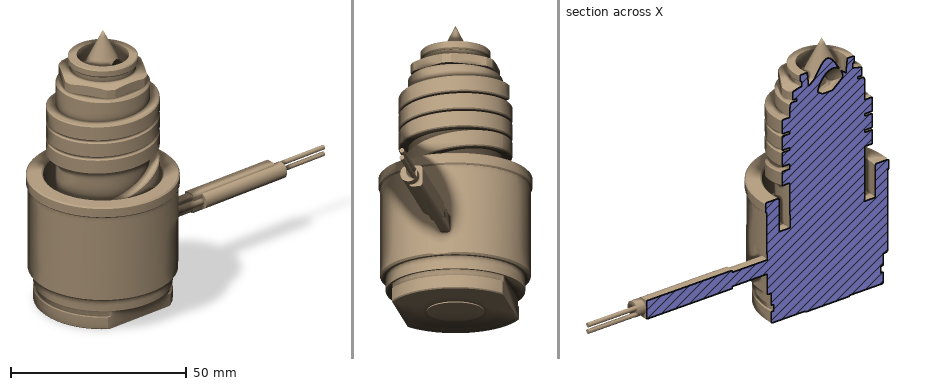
import cadquery as cq
import math

pad_height = 0.3
foot_top = 4.2
neck_top = 6.2
ring_top = 10.1
flange_bottom = 37.0
flange_top = 40.5
barrel_top = 70.4
nut_bottom = 70.9
nut_top = 74.5
lip_bottom = 76.0
lip_top = 78.4
tip_height = 86.3

pad_radius = 8.2
foot_radius = 19.9
neck_radius = 19.2
ring_radius = foot_radius
housing_radius = 21.5
flange_diameter = 44.0
flange_radius = flange_diameter / 2
foot_half_width = 16.1
housing_chamfer = 0.5
flange_chamfer = 0.4
edge_chamfer = 0.3
cavity_radius = 17.1
cavity_floor = 29.5
cable_flat_y = 21.2
cable_flat_top = 23.6

barrel_radius = 13.5
barrel_chamfer = 0.6
barrel_neck_radius = 11.2
nut_across_flats = 23.8
nut_corner_radius = 13.1
nut_cone_drop = 1.0
nozzle_neck_radius = 9.5
lip_radius = 10.0
lip_chamfer = 0.4
bore_top_radius = 7.5
bore_bottom_radius = 7.1
bore_floor = 73.8
torpedo_radius = 5.4
torpedo_shoulder = 75.3
outlet_radius = 4.2
outlet_mouth_x = 7.3
outlet_mouth_z = 74.9
outlet_depth = 8.4
funnel_tip_radius = 3.2
funnel_floor = 69.6
outlet_tilt = 45.0
outlet_angle = 20.0

coil_outer_radius = 16.2
coil_chamfer = 0.3
coil_overlap = 0.3
coil_band_height = 4.7
coil_end_angle = 172.6
coil_end_height = 64.5
coil_full_turns = 3
coil_drop = 16.0
coil_pitch = coil_drop / coil_full_turns
tail_start_angle = 158.0 - 360 * coil_full_turns
tail_end_angle = -50.0 - 360 * coil_full_turns
tail_bend = 0.00026375
coil_sample_step = 10.0

cable_axis_z = 19.3
cable_start_y = 19.0
flat_cable_end = 34.5
round_cable_radius = 1.2
flat_cable_width = 3.0
flat_cable_height = 5.3
flat_cable_x = -1.4
flat_cable_fillet = 0.6
block_width = 3.9
block_height = 6.2
block_x = -1.5
block_fillet = 1.0
block_start = 33.4
block_end = 63.7
sleeve_diameter = 5.0
sleeve_radius = sleeve_diameter / 2
sleeve_start = 36.6
sleeve_end = 66.6
wire_radius = 0.69
wire_x = -1.5
wire_spacing = 2.1
overall_length = 105.5
wire_end = overall_length - flange_radius


def cylinder(radius, bottom, top):
    return cq.Workplane("XY").workplane(offset=bottom).circle(radius).extrude(top - bottom)


def revolve(points):
    """Revolve an outline of (radius, height) points around the Z axis."""
    return cq.Workplane("XZ").polyline(points).close().revolve(360, (0, 0, 0), (0, 1, 0))


def make_foot():
    """Stepped round foot with wrench flats facing +X and -X, standing on a thin pad."""
    round_foot = (
        cylinder(foot_radius, pad_height, foot_top)
        .faces("<Z").chamfer(edge_chamfer)
        .union(cylinder(neck_radius, foot_top, neck_top))
    )
    flats = cq.Workplane("XY").box(2 * foot_half_width, 2 * flange_radius, neck_top,
                                   centered=(True, True, False))
    return round_foot.intersect(flats).union(cylinder(pad_radius, 0, pad_height))


def make_housing():
    """Flanged housing with an open heater cavity and a small flat where the cables leave."""
    body = cylinder(housing_radius, ring_top, flange_bottom).faces("<Z").chamfer(housing_chamfer)
    flat = cq.Workplane("XY").box(
        2 * housing_radius, housing_radius, cable_flat_top, centered=(True, False, False)
    ).translate((0, cable_flat_y, 0))
    body = body.cut(flat)
    flange = (
        cylinder(flange_radius, flange_bottom, flange_top)
        .faces("<Z or >Z").chamfer(flange_chamfer)
    )
    ring = cylinder(ring_radius, neck_top, ring_top)
    cavity = revolve([
        (0, cavity_floor),
        (cavity_radius, cavity_floor),
        (cavity_radius, flange_top - flange_chamfer),
        (cavity_radius + flange_chamfer, flange_top),
        (0, flange_top),
    ])
    return ring.union(body).union(flange).cut(cavity)


def make_nut():
    """Hexagonal nut with flats facing +X and -X and a shallow cone on top."""
    hexagon = (
        cq.Workplane("XY").workplane(offset=nut_bottom)
        .polygon(6, nut_across_flats / math.cos(math.pi / 6))
        .extrude(nut_top - nut_bottom)
        .rotate((0, 0, 0), (0, 0, 1), 30)
    )
    turned = revolve([
        (0, nut_bottom),
        (nut_corner_radius, nut_bottom),
        (nut_corner_radius, nut_top - nut_cone_drop),
        (lip_radius, nut_top),
        (0, nut_top),
    ])
    return hexagon.intersect(turned)


def make_nozzle():
    """Grooved lip above the nut, with a short neck joining it to the barrel."""
    outside = revolve([
        (0, nut_top),
        (nozzle_neck_radius, nut_top),
        (nozzle_neck_radius, lip_bottom),
        (lip_radius - lip_chamfer, lip_bottom),
        (lip_radius, lip_bottom + lip_chamfer),
        (lip_radius, lip_top - edge_chamfer),
        (lip_radius - edge_chamfer, lip_top),
        (0, lip_top),
    ])
    return outside.union(make_nut()).union(cylinder(barrel_neck_radius, barrel_top, nut_bottom))


def make_bore():
    """Tapered nozzle bore; its floor slopes down from the torpedo to the wall."""
    return revolve([
        (0, torpedo_shoulder),
        (torpedo_radius, torpedo_shoulder),
        (bore_bottom_radius, bore_floor),
        (bore_top_radius, lip_top),
        (0, lip_top),
    ])


def make_torpedo():
    """Pointed core rising from the bore floor, its seam turned to +Y, clear of the outlets."""
    return revolve([
        (0, bore_floor),
        (torpedo_radius, bore_floor),
        (torpedo_radius, torpedo_shoulder),
        (0, tip_height),
    ]).rotate((0, 0, 0), (0, 0, 1), 90)


def make_outlets():
    """Two opposite melt outlets, slanting down and inwards until they meet under the torpedo.

    A funnel below the bore floor bounds them on the outside.
    """
    funnel = revolve([
        (0, funnel_floor),
        (funnel_tip_radius, funnel_floor),
        (bore_bottom_radius, bore_floor),
        (bore_bottom_radius, tip_height),
        (0, tip_height),
    ])
    slanted = (
        cylinder(outlet_radius, -outlet_depth, outlet_depth)
        .rotate((0, 0, 0), (0, 1, 0), outlet_tilt)
        .translate((outlet_mouth_x, 0, outlet_mouth_z))
        .intersect(funnel)
        .rotate((0, 0, 0), (0, 0, 1), outlet_angle)
    )
    return slanted.union(slanted.rotate((0, 0, 0), (0, 0, 1), 180))


def coil_height(angle):
    """Mid height of the coil band; below the tail start the band bends downwards."""
    height = coil_end_height + coil_pitch * (angle - coil_end_angle) / 360
    if angle < tail_start_angle:
        height -= tail_bend * (tail_start_angle - angle) ** 2
    return height


def make_coil():
    """Rectangular heater band wound around the barrel, with a tail entering the cavity."""
    inner_radius = barrel_radius - coil_overlap

    def edge_curve(radius, offset, start, end):
        def point(t):
            angle = start + (end - start) * t
            a = math.radians(angle)
            return (radius * math.cos(a), radius * math.sin(a), coil_height(angle) + offset)

        sample_count = int((end - start) / coil_sample_step)
        curve = cq.Workplane("XY").parametricCurve(point, N=sample_count, makeWire=False)
        return curve.val()

    def band(start, end):
        half = coil_band_height / 2
        corners = [
            (inner_radius, -half),
            (coil_outer_radius - coil_chamfer, -half),
            (coil_outer_radius, coil_chamfer - half),
            (coil_outer_radius, half - coil_chamfer),
            (coil_outer_radius - coil_chamfer, half),
            (inner_radius, half),
        ]
        edges = [edge_curve(r, h, start, end) for r, h in corners]
        next_edges = edges[1:] + edges[:1]
        sides = [cq.Face.makeRuledSurface(a, b) for a, b in zip(edges, next_edges)]
        caps = []
        for t in (0, 1):
            points = [e.positionAt(t) for e in edges]
            caps.append(cq.Face.makeFromWires(cq.Wire.makePolygon(points, close=True)))
        return cq.Workplane(cq.Solid.makeSolid(cq.Shell.makeShell(sides + caps)))

    return band(tail_end_angle, tail_start_angle).union(band(tail_start_angle, coil_end_angle))


def rod(radius, x, z, start, end):
    """Round rod along +Y."""
    return cq.Workplane("XZ", origin=(x, start, z)).circle(radius).extrude(start - end)


def bar(width, height, x, fillet, start, end):
    """Rectangular bar along +Y with rounded long edges."""
    return (
        cq.Workplane("XZ", origin=(x, start, cable_axis_z))
        .rect(width, height).extrude(start - end)
        .edges("|Y").fillet(fillet)
    )


def make_cables():
    """Flat cable in its block and round cable in its sleeve, ending in two wires."""
    cables = bar(
        flat_cable_width, flat_cable_height, flat_cable_x, flat_cable_fillet,
        cable_start_y, flat_cable_end,
    )
    cables = cables.union(bar(block_width, block_height, block_x, block_fillet, block_start, block_end))
    cables = cables.union(rod(round_cable_radius, 0, cable_axis_z, cable_start_y, sleeve_end))
    cables = cables.union(rod(sleeve_radius, 0, cable_axis_z, sleeve_start, sleeve_end))
    for side in (-1, 1):
        z = cable_axis_z + side * wire_spacing / 2
        cables = cables.union(rod(wire_radius, wire_x, z, block_end, wire_end))
    return cables


barrel = cylinder(barrel_radius, cavity_floor, barrel_top).faces(">Z").chamfer(barrel_chamfer)

result = (
    make_foot()
    .union(make_housing())
    .union(barrel)
    .union(make_nozzle())
    .cut(make_bore())
    .union(make_torpedo())
    .cut(make_outlets())
    .union(make_coil())
    .union(make_cables())
)